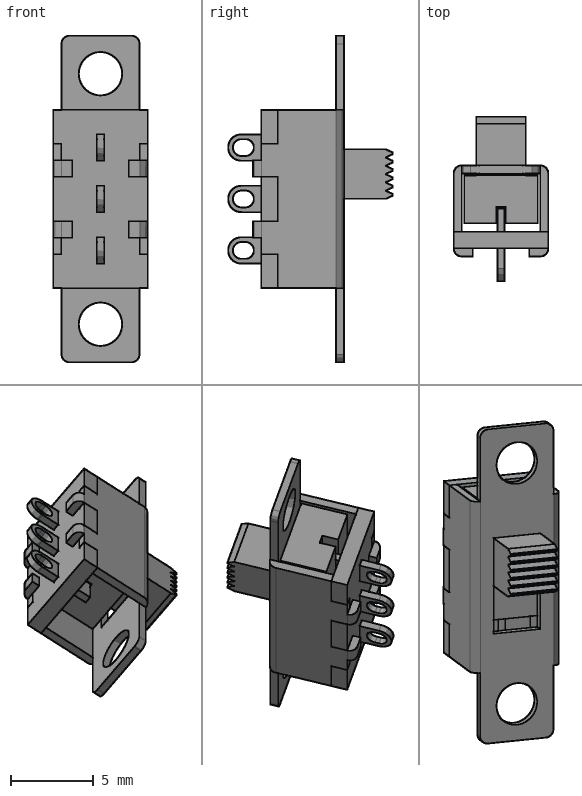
import cadquery as cq


sheet = 0.5
body_width = 5.72
body_height = 10.75
base_outer_y = -5.0
ear_width = body_width - 2 * sheet
ear_span = 19.7
ear_corner_radius = 0.5
ear_hole_diameter = 2.6
ear_hole_z = 7.55

tongue_inner_z = 1.34
tongue_length = 2.0
tab_length = 1.0
tab_reach = 1.16

base_thickness = 1.0
base_inner_y = base_outer_y + base_thickness

knob_width = 3.0
knob_height = 3.0
knob_tip_y = 2.94
tooth_count = 6
tooth_depth = 0.43
tooth_tip_flat = 0.1
tooth_pitch = knob_height / tooth_count
knob_z = knob_height / 2
carriage_width = 4.45
carriage_top_z = 5.32
carriage_height = 2 * (carriage_top_z - knob_z)
carriage_front_y = -0.6
carriage_back_y = -3.5
groove_width = 0.55
groove_depth = 1.0

terminal_thickness = 0.45
terminal_width = 1.6
terminal_pitch = 3.1
terminal_inner_y = -2.6
terminal_tip_y = -7.0
eyelet_width = 1.0
eyelet_length = 1.25
eyelet_tip_margin = 0.3


def block(x_range, y_range, z_range):
    """Box spanning the given (low, high) ranges."""
    size = [high - low for low, high in (x_range, y_range, z_range)]
    corner = (x_range[0], y_range[0], z_range[0])
    return cq.Workplane("XY").box(*size, centered=False).translate(corner)


def centred(size, middle=0.0):
    """Range of the given size about its middle."""
    return (middle - size / 2, middle + size / 2)


def terminal_positions():
    return [row * terminal_pitch for row in (-1, 0, 1)]


def tongue_range(end):
    """Z range of the tongue in the upper (end = 1) or lower (end = -1) half."""
    return sorted((end * tongue_inner_z, end * (tongue_inner_z + tongue_length)))


def tab_range(end):
    return sorted((end * tongue_inner_z, end * (tongue_inner_z + tab_length)))


def side_range(side, depth):
    """X range reaching inwards by depth from the outer face of one side."""
    outer = side * body_width / 2
    return sorted((outer, outer - side * depth))


def make_channel():
    """Front plate and two side walls, rounded on the outside of the folds."""
    outer = block(centred(body_width), (base_inner_y, 0), centred(body_height))
    outer = outer.edges("|Z and >Y").fillet(sheet)
    inside = block(centred(body_width - 2 * sheet), (base_inner_y, -sheet), centred(body_height))
    return outer.cut(inside)


def make_ear_strip():
    """Strip through the front plate, ending in the two mounting ears."""
    strip = block(centred(ear_width), (-sheet, 0), centred(ear_span))
    strip = strip.edges("|Y").fillet(ear_corner_radius)
    for z in (-ear_hole_z, ear_hole_z):
        hole = cq.Workplane("XZ").center(0, z).circle(ear_hole_diameter / 2).extrude(sheet)
        strip = strip.cut(hole)
    return strip


def make_tab(side, end):
    """Tab folded inwards over the base, rounded on the outside of the fold."""
    low_z, high_z = tab_range(end)
    outer_x = side * body_width / 2
    fold_x = outer_x - side * sheet
    tip_x = outer_x - side * tab_reach
    tab_y = base_outer_y - sheet
    return (
        cq.Workplane("XY", origin=(0, 0, low_z))
        .moveTo(tip_x, base_outer_y)
        .lineTo(outer_x, base_outer_y)
        .radiusArc((fold_x, tab_y), side * sheet)
        .lineTo(tip_x, tab_y)
        .close()
        .extrude(high_z - low_z)
    )


def make_tongue(side, end):
    return block(side_range(side, sheet), (base_outer_y, base_inner_y), tongue_range(end))


def make_frame():
    frame = make_channel().union(make_ear_strip())
    for side in (-1, 1):
        for end in (-1, 1):
            frame = frame.union(make_tongue(side, end)).union(make_tab(side, end))
    window = block(centred(knob_width), (-sheet, 0), centred(2 * knob_height))
    return frame.cut(window)


def make_base():
    base = block(centred(body_width), (base_outer_y, base_inner_y), centred(body_height))
    for side in (-1, 1):
        for end in (-1, 1):
            base = base.cut(make_tongue(side, end))
    for z in terminal_positions():
        base = base.cut(make_terminal(z))
    return base


def make_slider():
    carriage = block(
        centred(carriage_width),
        (carriage_back_y, carriage_front_y),
        centred(carriage_height, knob_z),
    )
    groove = block(
        centred(groove_width),
        (carriage_back_y, carriage_back_y + groove_depth),
        centred(carriage_height, knob_z),
    )
    root_y = knob_tip_y - tooth_depth
    bottom_z = knob_z - knob_height / 2
    profile = cq.Workplane("YZ").moveTo(carriage_front_y, bottom_z).lineTo(root_y, bottom_z)
    for tooth in range(tooth_count):
        tooth_z = bottom_z + tooth * tooth_pitch
        tip_low_z, tip_high_z = centred(tooth_tip_flat, tooth_z + tooth_pitch / 2)
        profile = profile.lineTo(knob_tip_y, tip_low_z).lineTo(knob_tip_y, tip_high_z)
        profile = profile.lineTo(root_y, tooth_z + tooth_pitch)
    profile = profile.lineTo(carriage_front_y, bottom_z + knob_height).close()
    knob = profile.extrude(knob_width / 2, both=True)
    return carriage.cut(groove).union(knob)


def make_terminal(z):
    """Flat lug with a round outer end and an oblong eyelet."""
    half_width = terminal_width / 2
    round_y = terminal_tip_y + half_width
    eyelet_y = terminal_tip_y + eyelet_tip_margin + eyelet_length / 2
    lug = (
        cq.Workplane("YZ")
        .moveTo(terminal_inner_y, -half_width)
        .lineTo(round_y, -half_width)
        .threePointArc((terminal_tip_y, 0), (round_y, half_width))
        .lineTo(terminal_inner_y, half_width)
        .close()
        .extrude(terminal_thickness / 2, both=True)
    )
    eyelet = (
        cq.Workplane("YZ")
        .center(eyelet_y, 0)
        .slot2D(eyelet_length, eyelet_width)
        .extrude(terminal_thickness / 2, both=True)
    )
    return lug.cut(eyelet).translate((0, 0, z))


frame = make_frame()
base = make_base()
slider = make_slider()
terminals = [make_terminal(z) for z in terminal_positions()]

result = cq.Compound.makeCompound(
    [frame.val(), base.val(), slider.val(), *[terminal.val() for terminal in terminals]]
)